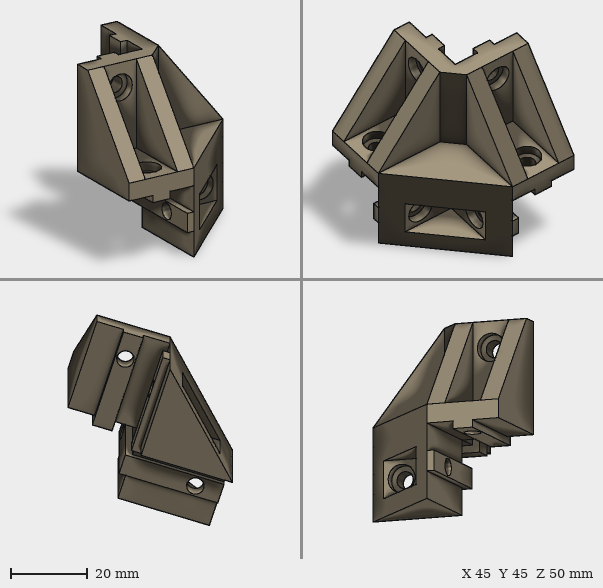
import cadquery as cq

wall = 5.0
rib = 5.0
width = 20.0
reach = 25.0
height = 30.0
key_width = 5.4
key_height = 2.0
hole_diameter = 4.5
counterbore_diameter = 7.5
counterbore_depth = 2.5
hole_end_distance = 7.0
lower_hole_reach = 15.0

middle = width / 2
pocket_width = width - 2 * rib


def box(x, y, z):
    """Box given by its (start, end) range along each axis."""
    size = (x[1] - x[0], y[1] - y[0], z[1] - z[0])
    return cq.Workplane("XY").box(*size, centered=False).translate((x[0], y[0], z[0]))


def band(center, size):
    """Range of the given size about a center."""
    return (center - size / 2, center + size / 2)


def screw_hole(point, direction):
    """Counterbored hole starting on the keyed side of a wall, at a point on its outer face."""
    normal = cq.Vector(*direction)
    face = cq.Vector(*point)
    bore = cq.Solid.makeCylinder(
        hole_diameter / 2, wall + key_height, face - normal * key_height, normal
    )
    counterbore = cq.Solid.makeCylinder(
        counterbore_diameter / 2, counterbore_depth, face + normal * (wall - counterbore_depth), normal
    )
    return cq.Workplane(bore).union(cq.Workplane(counterbore))


def triangle(leg, z):
    """Right triangle with its square corner on the Z axis."""
    return cq.Workplane("XY").workplane(offset=z).polyline([(0, 0), (leg, 0), (0, leg)]).close()


def upper_bracket():
    """Gusseted bracket on the -X side, joining a wall facing -Y to a floor facing -Z."""
    side = [(0, 0), (reach, 0), (reach, wall), (wall, height), (0, height)]
    body = cq.Workplane("YZ").polyline(side).close().extrude(-width)
    body = body.cut(box(band(-middle, pocket_width), (wall, reach), (wall, height)))

    key_band = band(-middle, key_width)
    body = body.union(box(key_band, (-key_height, 0), (-key_height, height)))
    body = body.union(box(key_band, (-key_height, reach), (-key_height, 0)))

    body = body.cut(screw_hole((-middle, 0, height - hole_end_distance), (0, 1, 0)))
    return body.cut(screw_hole((-middle, reach - hole_end_distance, 0), (0, 0, 1)))


def lower_bracket():
    """Triangular bracket below the origin, joining walls facing -X and -Y."""
    body = triangle(reach, -width).extrude(width)
    pocket_band = band(-middle, pocket_width)
    body = body.cut(box((wall, reach), (wall, reach), pocket_band))

    key_band = band(-middle, key_width)
    body = body.union(box((-key_height, reach), (-key_height, 0), key_band))
    body = body.union(box((-key_height, 0), (-key_height, reach), key_band))

    body = body.cut(screw_hole((lower_hole_reach, 0, -middle), (0, 1, 0)))
    return body.cut(screw_hole((0, lower_hole_reach, -middle), (1, 0, 0)))


def corner_block():
    """Triangular floor between the upper brackets with a full-height post at the inner corner."""
    floor = triangle(reach, 0).extrude(wall)
    post = triangle(wall, 0).extrude(height)
    return floor.union(post)


left_bracket = upper_bracket()
front_bracket = left_bracket.mirror((1, -1, 0))
result = corner_block().union(left_bracket).union(front_bracket).union(lower_bracket())